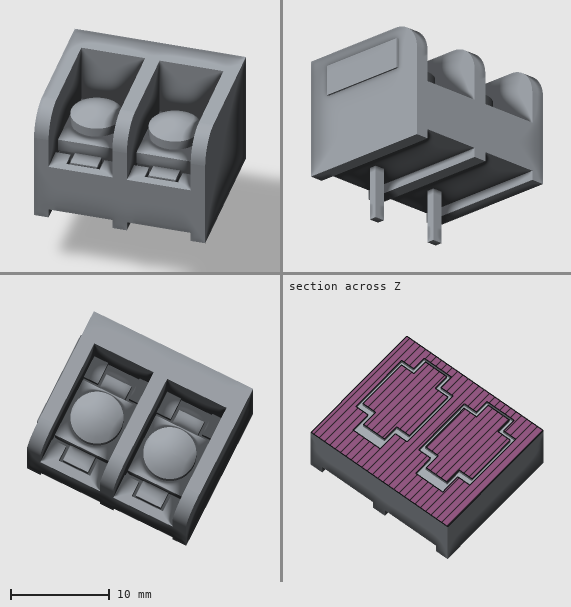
import cadquery as cq


positions = 2
pitch = 8.25
wall = 1.53
pocket_width = pitch - wall
body_width = positions * pitch + wall
body_depth = 15.25
body_height = 12.7
front_radius = 3.03
back_wall = 2.98
pocket_depth = 6.37
foot_height = 1.0
floor_z = body_height - pocket_depth

strip_width = 2.83
strip_front = 1.2
strip_back = 11.12
strip_thickness = 0.85
strip_proud = 0.07
strip_top = floor_z + strip_proud
pin_width = 1.17
pin_below_feet = 4.7

recess_width = 3.55
recess_front = 0.99
recess_back = body_depth - back_wall
recess_wide_front = 2.65
recess_wide_back = 9.88
recess_bottom = strip_top - strip_thickness

plate_side = 6.37
plate_thickness = 1.33
plate_top = strip_top + plate_thickness
strip_wide_side = 6.15

screw_y = 6.12
neck_diameter = 2.75
neck_height = 0.71
head_diameter = 5.39
rim_height = 1.0
dome_height = 0.93

overall_width = 18.26
pad_width = overall_width - body_width
pad_front = 2.68
pad_length = 10.05
pad_top_drop = 1.31
pad_height = 3.23


def block(center_x, width, y_range, z_range):
    """Box centred on center_x in X, between the given Y and Z limits."""
    y_min, y_max = y_range
    z_min, z_max = z_range
    return (
        cq.Workplane("XY")
        .box(width, y_max - y_min, z_max - z_min, centered=(True, False, False))
        .translate((center_x, y_min, z_min))
    )


def square_block(center_x, side, z_range):
    """Square plate centred under the screw."""
    return block(center_x, side, (screw_y - side / 2, screw_y + side / 2), z_range)


def make_shell():
    """Plain housing with its top front edge rounded."""
    shell = block(body_width / 2, body_width, (0, body_depth), (0, body_height))
    return shell.edges("|X and >Z and <Y").fillet(front_radius)


def make_cavity(center_x):
    """Everything removed from the housing at one position."""
    pocket = block(center_x, pocket_width, (0, recess_back), (floor_z, body_height))
    underside = block(center_x, pocket_width, (0, body_depth), (0, foot_height))
    recess_z = (recess_bottom, floor_z)
    recess_long = block(center_x, recess_width, (recess_front, recess_back), recess_z)
    recess_wide = block(center_x, pocket_width, (recess_wide_front, recess_wide_back), recess_z)
    return pocket.union(recess_long).union(recess_wide).union(underside)


def make_terminal(center_x):
    """Strip, pin and clamping plate of one position."""
    strip_z = (recess_bottom, strip_top)
    strip = block(center_x, strip_width, (strip_front, strip_back), strip_z)
    strip_wide = square_block(center_x, strip_wide_side, strip_z)
    pin_y = (strip_back - strip_thickness, strip_back)
    pin = block(center_x, pin_width, pin_y, (-pin_below_feet, strip_top))
    plate = square_block(center_x, plate_side, (strip_top, plate_top))
    return strip.union(strip_wide).union(pin).union(plate)


def make_screw(center_x):
    """Neck and domed head, revolved about the screw axis."""
    neck_radius = neck_diameter / 2
    head_radius = head_diameter / 2
    rim_top = neck_height + rim_height
    dome_radius = (head_radius**2 + dome_height**2) / (2 * dome_height)
    middle_r = head_radius / 2
    dome_center = rim_top + dome_height - dome_radius
    middle_z = dome_center + (dome_radius**2 - middle_r**2) ** 0.5
    return (
        cq.Workplane("XZ")
        .lineTo(neck_radius, 0)
        .lineTo(neck_radius, neck_height)
        .lineTo(head_radius, neck_height)
        .lineTo(head_radius, rim_top)
        .threePointArc((middle_r, middle_z), (0, rim_top + dome_height))
        .close()
        .revolve(360, (0, 0, 0), (0, 1, 0))
        .translate((center_x, screw_y, plate_top))
    )


def make_pad():
    """Raised pad on the left wall."""
    pad_top = body_height - pad_top_drop
    pad_y = (pad_front, pad_front + pad_length)
    return block(-pad_width / 2, pad_width, pad_y, (pad_top - pad_height, pad_top))


centers = [wall + pocket_width / 2 + i * pitch for i in range(positions)]

result = make_shell().union(make_pad())
for center in centers:
    result = result.cut(make_cavity(center))
    result = result.union(make_terminal(center))
    result = result.union(make_screw(center))